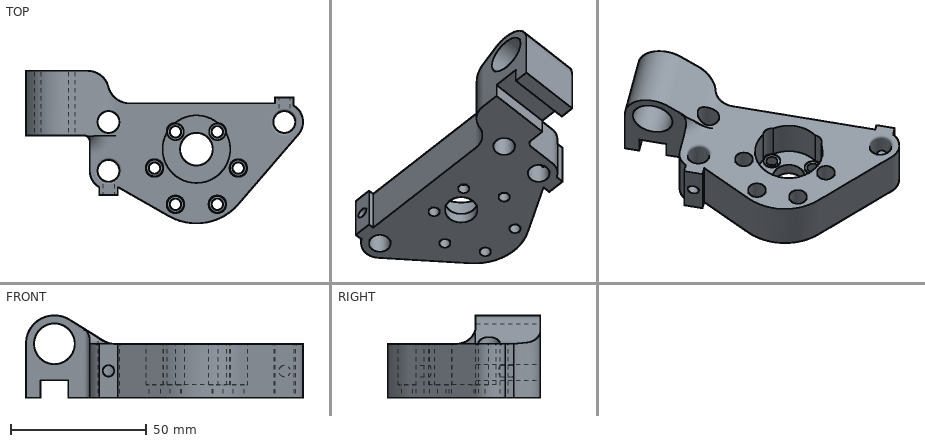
import cadquery as cq
import math


plate_height = 20.0
boss_radius = 7.0
boss_x = 32.5
right_boss_y = 10.0
left_boss_y = -8.0
hub_radius = 20.5
hub_y = -7.0
skirt_slope = math.radians(30)
plate_left = -boss_x - boss_radius
plate_back = right_boss_y + boss_radius

tube_radius = 10.6
tube_bore_diameter = 15.0
block_left = -63.0
block_front = 5.0
block_back = 29.0
block_right = -boss_x
block_corner_radius = 2.0
tube_x = block_left + tube_radius
tube_z = plate_height
slope_blend_radius = 8.6
slot_width = 10.1
slot_depth = 6.5

s_bend_radius = 8.0
s_bend_drop = block_back - plate_back
s_bend_half_length = math.sqrt(s_bend_radius * s_bend_drop - (s_bend_drop / 2) ** 2)

flare_x = -40.5
flare_y = 8.8
flare_reach = 11.0
flare_radius = 7.5

tab_width = 7.0
right_tab_end = 19.2
left_tab_end = -17.0
screw_diameter = 4.2

central_bore_diameter = 12.0
pocket_diameter = 25.0
pocket_depth = 15.0
post_bore_diameter = 8.0
post_bore_rounding = 1.0
bolt_count = 6
bolt_circle_radius = 15.5
bolt_diameter = 4.1
bolt_head_diameter = 6.6
bolt_seat_diameter = 6.1
bolt_seat_depth = 15.2


def on_circle(center, radius, angle):
    """Point on a circle, with the angle in radians from +X."""
    return (center[0] + radius * math.cos(angle), center[1] + radius * math.sin(angle))


def footprint():
    """Outline of plate and block together, seen from above."""
    hub = (0, hub_y)
    right_boss = (boss_x, right_boss_y)
    left_boss = (-boss_x, left_boss_y)

    rise = right_boss_y - hub_y
    tangent = (
        math.atan2(rise, boss_x)
        - math.acos((hub_radius - boss_radius) / math.hypot(boss_x, rise))
    )
    skirt = -math.pi / 2 - skirt_slope
    boss_end = -math.acos(tab_width / 2 / boss_radius)

    return (
        cq.Workplane("XY")
        .moveTo(block_left, block_front)
        .lineTo(block_left, block_back)
        .lineTo(block_right - s_bend_half_length, block_back)
        .tangentArcPoint((block_right, block_back - s_bend_drop / 2), relative=False)
        .tangentArcPoint((block_right + s_bend_half_length, plate_back), relative=False)
        .lineTo(boss_x, plate_back)
        .threePointArc(
            on_circle(right_boss, boss_radius, (math.pi / 2 + tangent) / 2),
            on_circle(right_boss, boss_radius, tangent),
        )
        .lineTo(*on_circle(hub, hub_radius, tangent))
        .threePointArc(
            on_circle(hub, hub_radius, (tangent + skirt) / 2),
            on_circle(hub, hub_radius, skirt),
        )
        .lineTo(*on_circle(left_boss, boss_radius, boss_end))
        .threePointArc(
            on_circle(left_boss, boss_radius, (boss_end - math.pi) / 2),
            (plate_left, left_boss_y),
        )
        .lineTo(plate_left, block_front - block_corner_radius)
        .tangentArcPoint((plate_left - block_corner_radius, block_front), relative=False)
        .close()
    )


def block_envelope(front, back):
    """Side shape of the block: round tube, then a slope blending into the plate top."""
    slope = math.asin(tube_radius / (block_right - tube_x))
    blend = slope_blend_radius * math.tan(slope / 2)
    tube = (tube_x, tube_z)
    return (
        cq.Workplane("XZ", origin=(0, back, 0))
        .moveTo(block_left, 0)
        .lineTo(block_left, tube_z)
        .threePointArc(
            on_circle(tube, tube_radius, 3 * math.pi / 4),
            on_circle(tube, tube_radius, math.pi / 2 - slope),
        )
        .lineTo(
            block_right - blend * math.cos(slope),
            plate_height + blend * math.sin(slope),
        )
        .tangentArcPoint((block_right + blend, plate_height), relative=False)
        .lineTo(block_right + blend, 0)
        .close()
        .extrude(back - front)
    )


def flare():
    """Concave horn standing on the plate, cut off by the block's slope."""
    arc_side = flare_radius * math.sqrt(0.5)
    top = plate_height + flare_radius
    horn = (
        cq.Workplane("XZ")
        .lineTo(flare_reach, 0)
        .lineTo(flare_reach, plate_height)
        .threePointArc(
            (flare_reach - arc_side, top - arc_side),
            (flare_reach - flare_radius, top),
        )
        .lineTo(0, top)
        .close()
        .revolve()
        .translate((flare_x, flare_y, 0))
    )
    return horn.intersect(block_envelope(flare_y - flare_reach, block_front))


def body():
    plate = footprint().extrude(plate_height)
    raised = block_envelope(block_front, block_back).union(flare())
    tall = footprint().extrude(tube_z + tube_radius)
    return plate.union(tall.intersect(raised))


def tab(x, boss_y, end_y):
    """Full-height tab from a boss center out to end_y."""
    return (
        cq.Workplane("XY")
        .center(x, (boss_y + end_y) / 2)
        .rect(tab_width, abs(end_y - boss_y))
        .extrude(plate_height)
    )


def post_bore(x, y):
    """Vertical bore with a rounded mouth in the plate top."""
    radius = post_bore_diameter / 2
    mouth = radius + post_bore_rounding
    arc_side = post_bore_rounding * (1 - math.sqrt(0.5))
    return (
        cq.Workplane("XZ")
        .lineTo(radius, 0)
        .lineTo(radius, plate_height - post_bore_rounding)
        .threePointArc((radius + arc_side, plate_height - arc_side), (mouth, plate_height))
        .lineTo(0, plate_height)
        .close()
        .revolve()
        .translate((x, y, 0))
    )


def screw_hole(x, boss_y, end_y):
    """Horizontal screw hole through a tab into the post bore behind it."""
    return (
        cq.Workplane("XZ", origin=(x, boss_y, plate_height / 2))
        .circle(screw_diameter / 2)
        .extrude(boss_y - end_y)
    )


result = body()

for x, boss_y, end_y in (
    (boss_x, right_boss_y, right_tab_end),
    (-boss_x, left_boss_y, left_tab_end),
):
    result = (
        result.union(tab(x, boss_y, end_y))
        .cut(post_bore(x, boss_y))
        .cut(screw_hole(x, boss_y, end_y))
    )

result = result.cut(
    cq.Workplane("XY")
    .center(-boss_x, right_boss_y)
    .circle(post_bore_diameter / 2)
    .extrude(tube_z + tube_radius)
)

result = result.cut(
    cq.Workplane("XZ", origin=(tube_x, block_back, tube_z))
    .circle(tube_bore_diameter / 2)
    .extrude(block_back - block_front)
)
result = result.cut(
    cq.Workplane("XZ", origin=(tube_x, block_back, slot_depth / 2))
    .rect(slot_width, slot_depth)
    .extrude(block_back - block_front)
)

plate_top = cq.Workplane("XY", origin=(0, 0, plate_height))
result = result.cut(plate_top.circle(central_bore_diameter / 2).extrude(-plate_height))
result = result.cut(plate_top.circle(pocket_diameter / 2).extrude(-pocket_depth))
bolts = plate_top.center(0, hub_y).polarArray(bolt_circle_radius, 0, 360, bolt_count)
result = result.cut(bolts.circle(bolt_diameter / 2).extrude(-plate_height))
result = result.cut(bolts.circle(bolt_head_diameter / 2).extrude(-pocket_depth))
result = result.cut(bolts.circle(bolt_seat_diameter / 2).extrude(-bolt_seat_depth))